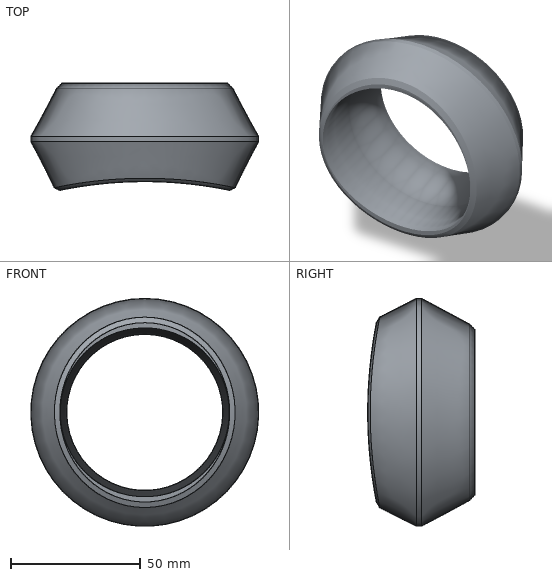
import cadquery as cq
import math


crown_height = 38.08
weld_bevel_height = 2.1
upper_cone_height = 18.55
rim_width = 1.9
taper_length = 20.5

rim_radius = 44.055
weld_bevel_base_radius = 34.1
weld_face_radius = 31.95
weld_bore_radius = 30.15
saddle_bore_radius = 32.65

saddle_radius = 162.0
lower_cone_slope = 0.51
saddle_chamfer = 1.47

bevel_base_y = crown_height - weld_bevel_height
rim_top_y = bevel_base_y - upper_cone_height
rim_bottom_y = rim_top_y - rim_width
taper_end_y = crown_height - taper_length

blank_bottom_y = -8.0
blank_bottom_radius = rim_radius - lower_cone_slope * (rim_bottom_y - blank_bottom_y)


def make_blank():
    """Double-cone ring with a narrow rim, a weld bevel and a bore that tapers to the weld end."""
    return (
        cq.Workplane("ZY")
        .moveTo(saddle_bore_radius, blank_bottom_y)
        .lineTo(blank_bottom_radius, blank_bottom_y)
        .lineTo(rim_radius, rim_bottom_y)
        .lineTo(rim_radius, rim_top_y)
        .lineTo(weld_bevel_base_radius, bevel_base_y)
        .lineTo(weld_face_radius, crown_height)
        .lineTo(weld_bore_radius, crown_height)
        .lineTo(saddle_bore_radius, taper_end_y)
        .close()
        .revolve(360, (0, 0, 0), (0, 1, 0))
    )


def make_run_pipe():
    """Cylinder of the run pipe that the saddle end sits on."""
    return (
        cq.Workplane("XY")
        .center(0, -saddle_radius)
        .circle(saddle_radius)
        .extrude(2 * rim_radius, both=True)
    )


def chamfer_saddle(ring):
    """Break the outer edge of the saddle face."""
    saddle_face = ring.faces("<Y")
    outer_edges = saddle_face.val().outerWire().Edges()
    return ring.newObject(outer_edges).chamfer(saddle_chamfer)


result = chamfer_saddle(make_blank().cut(make_run_pipe()))